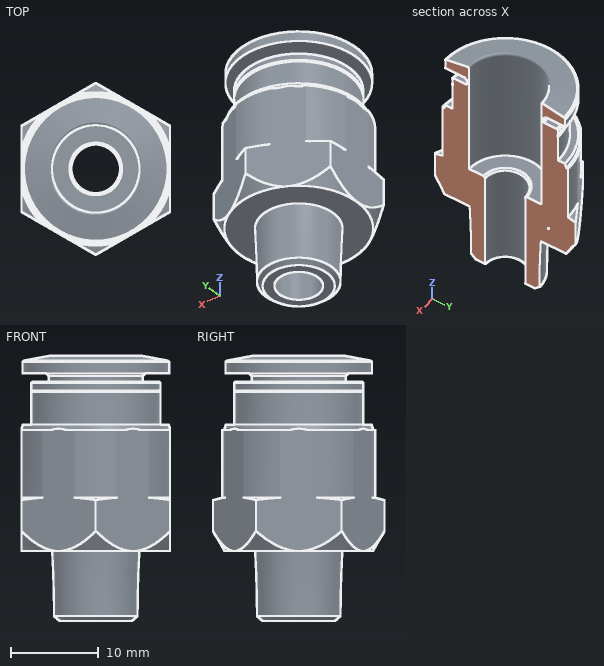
import cadquery as cq
import math

height = 30.3

stem_top_radius = 10.0 / 2
stem_low_radius = 4.8
stem_end_radius = 4.12
stem_chamfer_height = 0.58

across_flats = 17.0
across_corners = across_flats / math.cos(math.radians(30))
flat_radius = across_flats / 2
corner_radius = across_corners / 2
hex_bottom = 8.0
corner_chamfer_angle = 30.0
corner_chamfer_height = (corner_radius - flat_radius) / math.tan(math.radians(corner_chamfer_angle))

barrel_radius = 8.75
barrel_base = 14.1
corner_slope_drop = 0.27
shoulder_base_radius = 8.55
shoulder_top_radius = 8.33
shoulder_top = 22.42
shoulder_chamfer_height = 0.58

collar_radius = 14.8 / 2
collar_top = 27.35
collar_edge = 0.18
seam_bottom = 26.18
seam_height = 0.15
seam_depth = 0.1

neck_radius = 10.8 / 2
flare_size = 0.27
cap_radius = 16.8 / 2
cap_bottom = 28.27
cap_cone_bottom = 29.75
cap_edge = 0.18

tube_radius = 10.0 / 2
rim_rounding = 0.3
rim_radius = tube_radius + rim_rounding
tube_floor = 14.05
through_radius = 5.55 / 2
through_chamfer = (6.0 - 5.55) / 2


def revolve(points):
    """Turn a closed (radius, z) outline about the Z axis."""
    return cq.Workplane("XZ").polyline(points).close().revolve(360, (0, 0), (0, 1))


def make_body():
    """Hexagon and barrel, shaped by a turned envelope."""
    hexagon = (
        cq.Workplane("XY")
        .workplane(offset=hex_bottom)
        .polygon(6, across_corners)
        .extrude(shoulder_top - hex_bottom)
        .rotate((0, 0, 0), (0, 0, 1), 30)
    )
    envelope = revolve([
        (0, hex_bottom),
        (flat_radius, hex_bottom),
        (corner_radius, hex_bottom + corner_chamfer_height),
        (corner_radius, barrel_base - corner_slope_drop),
        (barrel_radius, barrel_base),
        (barrel_radius, shoulder_top - shoulder_chamfer_height),
        (shoulder_base_radius, shoulder_top - shoulder_chamfer_height),
        (shoulder_top_radius, shoulder_top),
        (0, shoulder_top),
    ])
    return hexagon.intersect(envelope)


def make_stem():
    """Chamfered stem whose side is an arc, vertical at its lower end."""
    arc_height = hex_bottom - stem_chamfer_height
    arc_width = stem_top_radius - stem_low_radius
    arc_radius = (arc_height**2 + arc_width**2) / (2 * arc_width)
    half_height = arc_height / 2
    half_width = arc_radius - math.sqrt(arc_radius**2 - half_height**2)
    return (
        cq.Workplane("XZ")
        .lineTo(stem_end_radius, 0)
        .lineTo(stem_low_radius, stem_chamfer_height)
        .threePointArc(
            (stem_low_radius + half_width, stem_chamfer_height + half_height),
            (stem_top_radius, hex_bottom),
        )
        .lineTo(0, hex_bottom)
        .close()
        .revolve(360, (0, 0), (0, 1))
    )


def make_collar():
    seam_radius = collar_radius - seam_depth
    return revolve([
        (0, shoulder_top),
        (collar_radius, shoulder_top),
        (collar_radius, seam_bottom),
        (seam_radius, seam_bottom),
        (seam_radius, seam_bottom + seam_height),
        (collar_radius, seam_bottom + seam_height),
        (collar_radius, collar_top - collar_edge),
        (collar_radius - collar_edge, collar_top),
        (0, collar_top),
    ])


def make_release_ring():
    return revolve([
        (0, collar_top),
        (neck_radius, collar_top),
        (neck_radius, cap_bottom - flare_size),
        (neck_radius + flare_size, cap_bottom),
        (cap_radius, cap_bottom),
        (cap_radius, cap_cone_bottom - cap_edge),
        (cap_radius - cap_edge, cap_cone_bottom),
        (rim_radius, height),
        (0, height),
    ])


def make_bore():
    """Tube socket with a rounded rim, and a chamfered flow hole below it."""
    return (
        cq.Workplane("XZ")
        .lineTo(through_radius, 0)
        .lineTo(through_radius, tube_floor - through_chamfer)
        .lineTo(through_radius + through_chamfer, tube_floor)
        .lineTo(tube_radius, tube_floor)
        .lineTo(tube_radius, height - rim_rounding)
        .radiusArc((rim_radius, height), rim_rounding)
        .lineTo(0, height)
        .close()
        .revolve(360, (0, 0), (0, 1))
    )


solid_fitting = make_body().union(make_stem()).union(make_collar()).union(make_release_ring())
result = solid_fitting.cut(make_bore())